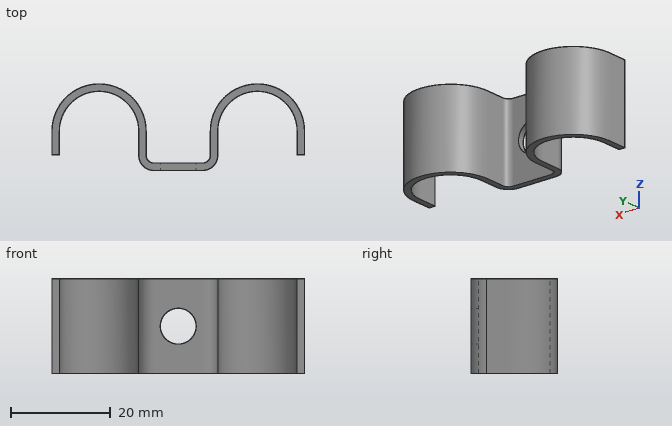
import cadquery as cq
import math

INCH = 25.4
thickness = 0.06 * INCH
pipe_diameter = 0.625 * INCH
pipe_spacing = 1.25 * INCH
strip_width = 0.75 * INCH
hole_diameter = 0.28125 * INCH
free_leg_length = 0.1875 * INCH
bend_inner_radius = thickness

pipe_x = pipe_spacing / 2
inner_radius = pipe_diameter / 2
outer_radius = inner_radius + thickness
base_y = -inner_radius
bend_outer_radius = bend_inner_radius + thickness
bend_y = base_y + bend_outer_radius

web_outer_x = pipe_x - inner_radius
web_inner_x = pipe_x - outer_radius
flat_x = web_outer_x - bend_outer_radius
leg_inner_x = pipe_x + inner_radius
leg_outer_x = pipe_x + outer_radius


def on_bend(side, radius):
    """Middle point of a base bend arc on the given side (-1 left, +1 right)."""
    offset = radius * math.sqrt(0.5)
    return (side * (flat_x + offset), bend_y - offset)


def make_strip():
    """Constant-thickness strip with two pipe arches and a flat saddle between."""
    profile = (
        cq.Workplane("XY", origin=(0, 0, -strip_width / 2))
        .moveTo(-leg_inner_x, -free_leg_length)
        .lineTo(-leg_inner_x, 0)
        .threePointArc((-pipe_x, inner_radius), (-web_outer_x, 0))
        .lineTo(-web_outer_x, bend_y)
        .threePointArc(on_bend(-1, bend_outer_radius), (-flat_x, base_y))
        .lineTo(flat_x, base_y)
        .threePointArc(on_bend(1, bend_outer_radius), (web_outer_x, bend_y))
        .lineTo(web_outer_x, 0)
        .threePointArc((pipe_x, inner_radius), (leg_inner_x, 0))
        .lineTo(leg_inner_x, -free_leg_length)
        .lineTo(leg_outer_x, -free_leg_length)
        .lineTo(leg_outer_x, 0)
        .threePointArc((pipe_x, outer_radius), (web_inner_x, 0))
        .lineTo(web_inner_x, bend_y)
        .threePointArc(on_bend(1, bend_inner_radius), (flat_x, base_y + thickness))
        .lineTo(-flat_x, base_y + thickness)
        .threePointArc(on_bend(-1, bend_inner_radius), (-web_inner_x, bend_y))
        .lineTo(-web_inner_x, 0)
        .threePointArc((-pipe_x, outer_radius), (-leg_outer_x, 0))
        .lineTo(-leg_outer_x, -free_leg_length)
        .close()
    )
    return profile.extrude(strip_width)


def make_screw_hole():
    """Cylinder through the middle of the saddle flat, along Y."""
    return (
        cq.Workplane("XZ", origin=(0, base_y, 0))
        .circle(hole_diameter / 2)
        .extrude(-thickness)
    )


result = make_strip().cut(make_screw_hole())